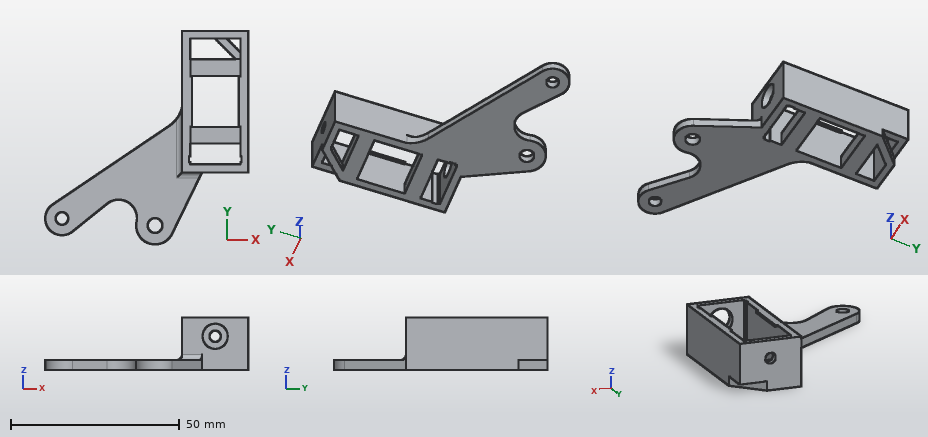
import cadquery as cq
import math


box_length_x = 19.75
box_length_y = 42.1
box_height = 15.6
wall_left = 2.5
wall_right = 2.35
wall_front = 2.5
wall_back = 2.3
inner_right = box_length_x - wall_right
inner_back = box_length_y - wall_back
cavity_x = inner_right - wall_left
cavity_y = inner_back - wall_front

bar_width = 5.0
bar_height = 5.0
front_bar_y = 8.6
bar_gap = 15.1
lip_start_y = front_bar_y + bar_width
back_bar_y = lip_start_y + bar_gap
lip_depth = 0.6
lip_height = 0.6

groove_start_y = 3.1
groove_width = 1.7
groove_depth_left = 0.4
groove_depth_right = 0.25

end_hole_z = 10.0
front_hole_diameter = 7.5
back_hole_diameter = 3.3

diagonal_thickness = 2.5
corner_height = 2.9
corner_setback = 8.7

plate_thickness = 3.0
small_ear_center = (-35.7, -13.65)
small_ear_radius = 5.0
small_ear_hole = 3.7
large_ear_center = (-8.0, -15.75)
large_ear_radius = 5.65
large_ear_hole = 4.3
notch_center = (-18.85, -13.5)
top_edge_angle = 34.0
top_edge_end_x = -3.8
top_blend_end_y = 19.35
right_edge_end = (5.95, 0)
plate_overlap = 1.3
root_radius = 1.6


def block(x, y, z, dx, dy, dz):
    """Box with its lowest corner at (x, y, z)."""
    return cq.Workplane("XY").box(dx, dy, dz, centered=False).translate((x, y, z))


def polar(center, radius, angle):
    """Point on a circle at an angle in radians."""
    return (center[0] + radius * math.cos(angle), center[1] + radius * math.sin(angle))


def direction(start, end):
    return math.atan2(end[1] - start[1], end[0] - start[0])


def plate_outline(height):
    """Prism of the two-eared plate; each straight edge is tangent to its arcs."""
    ear_to_notch = direction(large_ear_center, notch_center)
    notch_radius = math.dist(large_ear_center, notch_center) - large_ear_radius

    slope = math.radians(top_edge_angle)
    top_start = polar(small_ear_center, small_ear_radius, slope + math.pi / 2)
    top_end = (top_edge_end_x, top_start[1] + (top_edge_end_x - top_start[0]) * math.tan(slope))

    spacing = math.dist(small_ear_center, notch_center)
    lower_slope = direction(small_ear_center, notch_center)
    lower_slope += math.asin((small_ear_radius + notch_radius) / spacing)
    lower_start = polar(small_ear_center, small_ear_radius, lower_slope - math.pi / 2)
    lower_end = polar(notch_center, notch_radius, lower_slope + math.pi / 2)
    small_ear_far = polar(small_ear_center, small_ear_radius, math.pi + slope)

    notch_far = polar(notch_center, notch_radius, math.radians(60))
    ear_start = polar(large_ear_center, large_ear_radius, ear_to_notch)
    ear_far = polar(large_ear_center, large_ear_radius, -math.pi / 2)

    reach = math.dist(large_ear_center, right_edge_end)
    tangent_angle = direction(large_ear_center, right_edge_end)
    tangent_angle -= math.acos(large_ear_radius / reach)
    ear_end = polar(large_ear_center, large_ear_radius, tangent_angle)

    return (
        cq.Workplane("XY")
        .moveTo(*top_start)
        .lineTo(*top_end)
        .tangentArcPoint((0, top_blend_end_y), relative=False)
        .lineTo(plate_overlap, top_blend_end_y)
        .lineTo(plate_overlap, plate_overlap)
        .lineTo(right_edge_end[0], plate_overlap)
        .lineTo(*right_edge_end)
        .lineTo(*ear_end)
        .threePointArc(ear_far, ear_start)
        .threePointArc(notch_far, lower_end)
        .lineTo(*lower_start)
        .threePointArc(small_ear_far, top_start)
        .close()
        .extrude(height)
    )


def root_profile(plane, length):
    """Concave fillet section rising toward the housing wall, extruded both ways."""
    arc_offset = root_radius * math.sin(math.pi / 4)
    top = plate_thickness + root_radius
    return (
        cq.Workplane(plane)
        .moveTo(-root_radius, 0)
        .lineTo(-root_radius, plate_thickness)
        .threePointArc((-root_radius + arc_offset, top - arc_offset), (0, top))
        .lineTo(length, top)
        .lineTo(length, 0)
        .close()
        .extrude(length, both=True)
    )


def make_plate():
    """Plate with ear holes and a mitred fillet at the housing walls."""
    plate = plate_outline(plate_thickness)
    root = plate_outline(plate_thickness + root_radius)
    root = root.intersect(root_profile("XZ", box_length_y))
    root = root.intersect(root_profile("YZ", box_length_y))
    plate = plate.union(root)
    for center, diameter in ((small_ear_center, small_ear_hole), (large_ear_center, large_ear_hole)):
        plate = plate.cut(cq.Workplane("XY").center(*center).circle(diameter / 2).extrude(plate_thickness))
    return plate


def corner_triangle(setback):
    """Low 45-degree prism filling the back-right corner of the housing."""
    return (
        cq.Workplane("XY")
        .moveTo(box_length_x, box_length_y)
        .lineTo(box_length_x - setback, box_length_y)
        .lineTo(box_length_x, box_length_y - setback)
        .close()
        .extrude(corner_height)
    )


def end_hole(wall_y, wall_thickness, diameter):
    """Cylinder along Y through one end wall."""
    return (
        cq.Workplane("XZ", origin=(box_length_x / 2, wall_y, end_hole_z))
        .circle(diameter / 2)
        .extrude(-wall_thickness)
    )


def make_housing():
    housing = block(0, 0, 0, box_length_x, box_length_y, box_height)
    housing = housing.cut(block(wall_left, wall_front, 0, cavity_x, cavity_y, box_height))

    for bar_y in (front_bar_y, back_bar_y):
        housing = housing.union(block(wall_left, bar_y, 0, cavity_x, bar_width, bar_height))
    for lip_x in (wall_left, inner_right - lip_depth):
        lip_z = box_height - lip_height
        housing = housing.union(block(lip_x, lip_start_y, lip_z, lip_depth, bar_gap, lip_height))

    groove_x = wall_left - groove_depth_left
    groove_span = cavity_x + groove_depth_left + groove_depth_right
    housing = housing.cut(block(groove_x, groove_start_y, 0, groove_span, groove_width, box_height))

    housing = housing.cut(end_hole(0, wall_front, front_hole_diameter))
    housing = housing.cut(end_hole(inner_back, wall_back, back_hole_diameter))

    inner_setback = corner_setback + diagonal_thickness * math.sqrt(2)
    housing = housing.union(corner_triangle(inner_setback))
    return housing.cut(corner_triangle(corner_setback))


result = make_housing().union(make_plate())